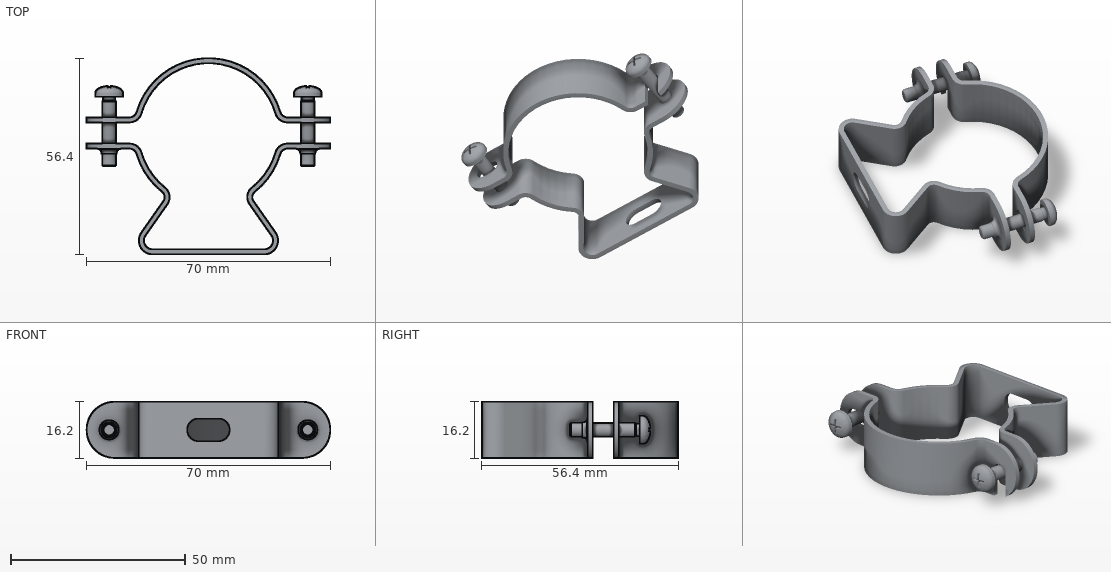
import cadquery as cq
import math

thickness = 1.5
width = 16.2
pipe_radius = 20.0
outer_radius = pipe_radius + thickness
ear_gap = 6.0
ear_inner = ear_gap / 2
ear_outer = ear_inner + thickness
half_length = 35.0
ear_bend_radius = 2.2

base_bottom = -34.86
foot_slant = math.radians(35)
foot_bend_radius = 4.0
foot_bend_x = 16.0
foot_bend_y = base_bottom + foot_bend_radius
neck_bend_radius = 2.0
base_slot_length = 12.2
base_slot_width = 6.5

screw_x = 28.5
screw_radius = 2.0
screw_length = 20.0
head_radius = 4.0
head_rim = 1.05
head_dome = 2.1
head_seat = 10.4
undercut_radius = 3.62 / 2
undercut_length = 1.0
undercut_taper = 0.4
tip_chamfer = 0.4
cross_span = 4.4
cross_width = 0.8
cross_depth = 1.2

collar_radius = 2.2
collar_height = 1.5
collar_fillet = 1.3
lip_radius = 2.8

clearance_width = 4.6
hole_length = 7.0


def polar(center, radius, angle):
    """Point at an angle (radians) on a circle."""
    return (center[0] + radius * math.cos(angle), center[1] + radius * math.sin(angle))


def mirrored(point):
    return (-point[0], point[1])


bend_center_distance = outer_radius + ear_bend_radius
ear_angle = math.asin((ear_outer + ear_bend_radius) / bend_center_distance)
ear_bend_center = polar((0, 0), bend_center_distance, ear_angle)
ear_bend_middle = (ear_angle + math.pi + 1.5 * math.pi) / 2


def ear_bend_points(on_pipe_side):
    """Arc start, middle and end of one face of the upper right ear bend."""
    radius = ear_bend_radius + (thickness if on_pipe_side else 0)
    angles = (ear_angle + math.pi, ear_bend_middle, 1.5 * math.pi)
    return [polar(ear_bend_center, radius, angle) for angle in angles]


def centered_extrude(sketch):
    return sketch.extrude(width / 2, both=True)


def round_ear_ends(strip):
    """Trim the strip ends to full half-rounds as seen along Y."""
    reach = 2 * abs(base_bottom)
    envelope = cq.Workplane("XZ").slot2D(2 * half_length, width).extrude(reach, both=True)
    return strip.intersect(envelope)


def upper_strip():
    outer_start, outer_middle, outer_end = ear_bend_points(False)
    inner_start, inner_middle, inner_end = ear_bend_points(True)
    outline = (
        cq.Workplane("XY")
        .moveTo(half_length, ear_inner)
        .lineTo(half_length, ear_outer)
        .lineTo(*outer_end)
        .threePointArc(outer_middle, outer_start)
        .threePointArc((0, outer_radius), mirrored(outer_start))
        .threePointArc(mirrored(outer_middle), mirrored(outer_end))
        .lineTo(-half_length, ear_outer)
        .lineTo(-half_length, ear_inner)
        .lineTo(*mirrored(inner_end))
        .threePointArc(mirrored(inner_middle), mirrored(inner_start))
        .threePointArc((0, pipe_radius), inner_start)
        .threePointArc(inner_middle, inner_end)
        .close()
    )
    return round_ear_ends(centered_extrude(outline))


def ear_cutter(sketch):
    """Extrude an XZ sketch through the upper ears only."""
    return sketch.extrude(-2 * ear_outer)


def upper_half():
    hook_slot = ear_cutter(
        cq.Workplane("XZ")
        .moveTo(-screw_x - clearance_width / 2, -width)
        .lineTo(-screw_x - clearance_width / 2, 0)
        .threePointArc((-screw_x, clearance_width / 2), (-screw_x + clearance_width / 2, 0))
        .lineTo(-screw_x + clearance_width / 2, -width)
        .close()
    )
    oblong_hole = ear_cutter(
        cq.Workplane("XZ").center(screw_x, 0).slot2D(hole_length, clearance_width)
    )
    return upper_strip().cut(hook_slot).cut(oblong_hole)


def saddle_face(offset):
    """Right half of one face of the lower strip, from the ear end to the centre of the base.

    Offset 0 gives the outer face and the strip thickness gives the inner face. Each step is an
    arc middle (None for a straight line) and an end point.
    """
    def below(point):
        return (point[0], -point[1])

    start, middle, end = (below(point) for point in ear_bend_points(offset > 0))

    neck_distance = outer_radius + neck_bend_radius
    center_offset = (
        foot_bend_x * math.cos(foot_slant) + foot_bend_y * math.sin(foot_slant)
        + foot_bend_radius + neck_bend_radius
    )
    neck_angle = math.acos(center_offset / neck_distance) - foot_slant
    neck_center = polar((0, 0), neck_distance, -neck_angle)
    neck_radius = neck_bend_radius + offset
    neck_start = math.pi - neck_angle
    neck_end = math.pi + foot_slant

    foot_center = (foot_bend_x, foot_bend_y)
    foot_radius = foot_bend_radius - offset
    foot_middle = (foot_slant - math.pi / 2) / 2

    return [
        (None, (half_length, -ear_inner if offset else -ear_outer)),
        (None, end),
        (middle, start),
        (polar((0, 0), outer_radius - offset, -(ear_angle + neck_angle) / 2),
         polar(neck_center, neck_radius, neck_start)),
        (polar(neck_center, neck_radius, (neck_start + neck_end) / 2),
         polar(neck_center, neck_radius, neck_end)),
        (None, polar(foot_center, foot_radius, foot_slant)),
        (polar(foot_center, foot_radius, foot_middle),
         polar(foot_center, foot_radius, -math.pi / 2)),
        (None, (0, base_bottom + offset)),
    ]


def saddle_strip():
    """Half strip closed on the centre plane, then mirrored."""
    outer = saddle_face(0)
    inner = saddle_face(thickness)
    outline = cq.Workplane("XY").moveTo(*outer[0][1])
    for middle, end in outer[1:]:
        outline = outline.threePointArc(middle, end) if middle else outline.lineTo(*end)
    outline = outline.lineTo(*inner[-1][1])
    for (middle, _), (_, end) in zip(inner[:0:-1], inner[-2::-1]):
        outline = outline.threePointArc(middle, end) if middle else outline.lineTo(*end)
    half = centered_extrude(outline.close())
    return round_ear_ends(half.union(half.mirror("YZ")))


def revolved(profile, x):
    """Turn an XY profile of (radius, Y) about the Y axis and move it to x."""
    return profile.close().revolve(360, (0, 0, 0), (0, 1, 0)).translate((x, 0, 0))


def collar(x):
    root = -ear_outer
    end = root - collar_height
    flare_radius = collar_radius + collar_fillet
    flare_center = (flare_radius, root - collar_fillet)
    lip_angle = math.acos((lip_radius - flare_radius) / collar_fillet)
    return revolved(
        cq.Workplane("XY")
        .moveTo(0, root)
        .lineTo(flare_radius, root)
        .lineTo(*polar(flare_center, collar_fillet, lip_angle))
        .threePointArc(
            polar(flare_center, collar_fillet, (lip_angle + math.pi) / 2),
            (collar_radius, root - collar_fillet),
        )
        .lineTo(collar_radius, end)
        .lineTo(0, end),
        x,
    )


def screw(x):
    tip = head_seat - screw_length
    rim_top = head_seat + head_rim
    crown = rim_top + head_dome
    undercut_end = head_seat - undercut_length
    blank = revolved(
        cq.Workplane("XY")
        .moveTo(0, tip)
        .lineTo(screw_radius - tip_chamfer, tip)
        .lineTo(screw_radius, tip + tip_chamfer)
        .lineTo(screw_radius, undercut_end - undercut_taper)
        .lineTo(undercut_radius, undercut_end)
        .lineTo(undercut_radius, head_seat)
        .lineTo(head_radius, head_seat)
        .lineTo(head_radius, rim_top)
        .ellipseArc(head_radius, head_dome, 0, 90, startAtCurrent=True),
        x,
    )
    recess_center = (x, crown - cross_depth / 2, 0)
    for span_x, span_z in ((cross_span, cross_width), (cross_width, cross_span)):
        blank = blank.cut(cq.Workplane("XY").box(span_x, cross_depth, span_z).translate(recess_center))
    return blank


def lower_half():
    """Saddle carrying both screws in its threaded collars, as one solid."""
    base_slot = (
        cq.Workplane("XZ", origin=(0, base_bottom - thickness, 0))
        .slot2D(base_slot_length, base_slot_width)
        .extrude(-3 * thickness)
    )
    body = saddle_strip().cut(base_slot)
    for x in (-screw_x, screw_x):
        body = body.union(collar(x)).union(screw(x))
    return body


result = cq.Compound.makeCompound([upper_half().val(), lower_half().val()])